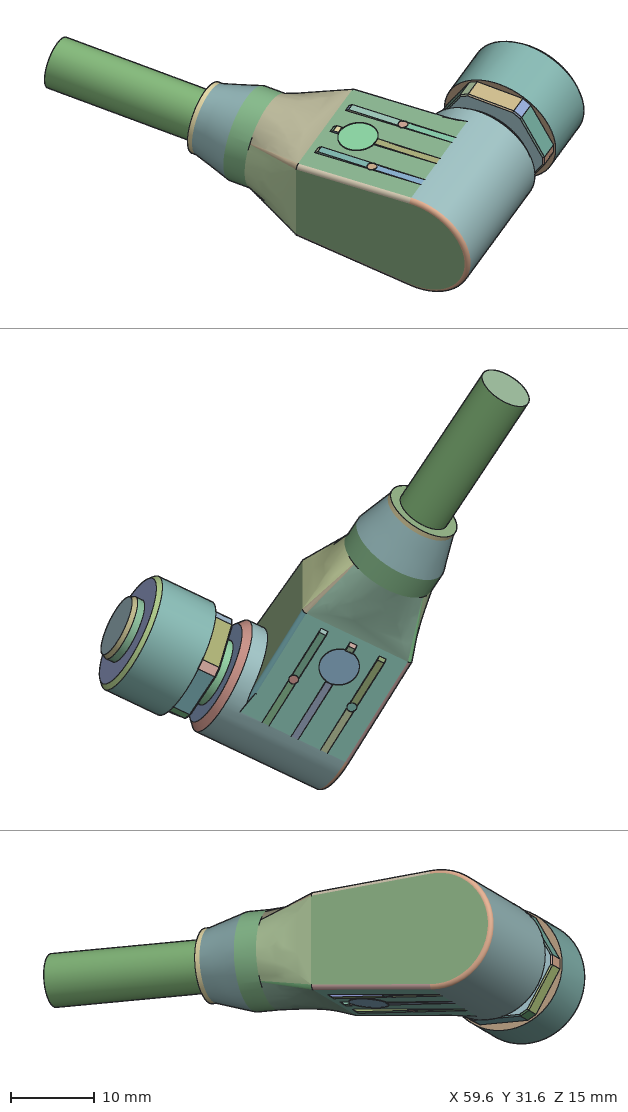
import cadquery as cq
import math


total_length = 59.6
nut_diameter = 15.0
cable_diameter = 6.5
cable_end_x = nut_diameter / 2 - total_length

collar_start_x = -32.1
collar_lip_length = 0.65
cone_end_x = -26.45
collar_end_x = -23.6
collar_small_diameter = 9.1
collar_large_diameter = 12.1

collar_corner_angle = math.radians(1.5)

head_diameter = 14.7
head_radius = head_diameter / 2
taper_angle = math.radians(5)
block_start_x = -15.9
block_half_width = 7.5
block_edge_radius = 0.55
sharp_start_x = -3.7
sharp_start_y = 7.1
head_end_y = 10.5
head_chamfer = 0.9
tangent_x = -head_radius * math.sin(taper_angle)
tangent_z = head_radius * math.cos(taper_angle)

rib_start_x = -15.0
rib_ramp_length = 0.4
rib_rise = 0.3
rib_width = 0.95
rib_spacing = 4.0
disc_x = -11.5
disc_diameter = 4.8
dot_x = -7.5
dot_diameter = 1.2
pad_rise = 0.09

neck_diameter = 8.5
hex_start_y = 12.15
hex_across_flats = 13.1
hex_across_corners = 14.4
hex_edge_chamfer = 0.2
nut_start_y = 14.65
nut_end_y = 22.5
nut_chamfer = 0.55
tip_diameter = 8.2
tip_end_y = 24.1
tip_chamfer_length = 0.6
tip_chamfer_depth = 0.3


def face_height(x):
    """Height of the upper tapered face of the block at x."""
    return tangent_z + (x - tangent_x) * math.tan(taper_angle)


def plug_plane(y):
    """Plane across the plug axis at y, with its normal along +Y."""
    return cq.Plane(origin=(0, y, 0), xDir=(1, 0, 0), normal=(0, 1, 0))


def plug_cylinder(diameter, start_y, end_y):
    return cq.Workplane(plug_plane(start_y)).circle(diameter / 2).extrude(end_y - start_y)


def make_cable_and_collar():
    cable_radius = cable_diameter / 2
    small_radius = collar_small_diameter / 2
    large_radius = collar_large_diameter / 2
    return (
        cq.Workplane("XY")
        .moveTo(cable_end_x, 0)
        .lineTo(cable_end_x, cable_radius)
        .lineTo(collar_start_x, cable_radius)
        .lineTo(collar_start_x, small_radius)
        .lineTo(collar_start_x + collar_lip_length, small_radius)
        .lineTo(cone_end_x, large_radius)
        .lineTo(collar_end_x, large_radius)
        .lineTo(collar_end_x, 0)
        .close()
        .revolve(360, (0, 0, 0), (1, 0, 0))
    )


def make_block():
    """Tapered block with a round end, rounded along its edges on both Y sides."""
    start_z = face_height(block_start_x)
    sharp_block = (
        cq.Workplane(plug_plane(-block_half_width))
        .moveTo(block_start_x, -start_z)
        .lineTo(tangent_x, -tangent_z)
        .threePointArc((head_radius, 0), (tangent_x, tangent_z))
        .lineTo(block_start_x, start_z)
        .close()
        .extrude(2 * block_half_width)
    )
    rounded_edges = sharp_block.faces("<Y or >Y").edges("not <X")
    rounded_block = rounded_edges.fillet(block_edge_radius)

    sharp_zone = (
        cq.Workplane("XY")
        .moveTo(sharp_start_x, 0)
        .lineTo(tangent_x, 0)
        .lineTo(tangent_x, block_half_width)
        .lineTo(sharp_start_x, sharp_start_y)
        .close()
        .extrude(head_radius, both=True)
    )
    return rounded_block.union(sharp_block.intersect(sharp_zone), clean=False)


def make_head():
    head = plug_cylinder(head_diameter, 0, head_end_y)
    return head.faces(">Y").edges().chamfer(head_chamfer)


def make_transition():
    """Ruled body from the round collar to the rounded rectangle of the block."""
    half_y = block_half_width
    half_z = face_height(block_start_x)
    flat_y = half_y - block_edge_radius
    flat_z = half_z - block_edge_radius
    mid_y = flat_y + block_edge_radius * math.sqrt(0.5)
    mid_z = flat_z + block_edge_radius * math.sqrt(0.5)
    rectangle = (
        cq.Workplane("YZ", origin=(block_start_x, 0, 0))
        .moveTo(half_y, -flat_z)
        .lineTo(half_y, flat_z)
        .threePointArc((mid_y, mid_z), (flat_y, half_z))
        .lineTo(-flat_y, half_z)
        .threePointArc((-mid_y, mid_z), (-half_y, flat_z))
        .lineTo(-half_y, -flat_z)
        .threePointArc((-mid_y, -mid_z), (-flat_y, -half_z))
        .lineTo(flat_y, -half_z)
        .threePointArc((mid_y, -mid_z), (half_y, -flat_z))
        .close()
    )

    large_radius = collar_large_diameter / 2

    def circle_point(angle):
        return (large_radius * math.cos(angle), large_radius * math.sin(angle))

    diagonal = math.atan2(half_z, half_y)
    corner_angles = (diagonal, math.pi - diagonal, math.pi + diagonal, 2 * math.pi - diagonal)
    arc_start = collar_corner_angle / 2 - diagonal
    circle = cq.Workplane("YZ", origin=(collar_end_x, 0, 0)).moveTo(*circle_point(arc_start))
    for corner_angle in corner_angles:
        corner_start = corner_angle - collar_corner_angle / 2
        corner_end = corner_angle + collar_corner_angle / 2
        side_middle = (arc_start + corner_start) / 2
        circle = circle.threePointArc(circle_point(side_middle), circle_point(corner_start))
        circle = circle.threePointArc(circle_point(corner_angle), circle_point(corner_end))
        arc_start = corner_end
    circle = circle.close()

    return cq.Workplane(obj=cq.Solid.makeLoft([circle.val(), rectangle.val()], True))


def make_rib(y):
    """Rib on the upper tapered face, ramped at its cable end and fading out at the head."""
    ramp_end_x = rib_start_x + rib_ramp_length
    return (
        cq.Workplane(plug_plane(y - rib_width / 2))
        .moveTo(rib_start_x, 0)
        .lineTo(tangent_x, 0)
        .lineTo(tangent_x, -tangent_z)
        .lineTo(ramp_end_x, -face_height(ramp_end_x) - rib_rise)
        .lineTo(rib_start_x, -face_height(rib_start_x))
        .close()
        .extrude(rib_width)
    )


def make_column(x, y, diameter):
    return cq.Workplane("XY").center(x, y).circle(diameter / 2).extrude(head_diameter)


def make_pad_layer():
    """Wedge whose top lies pad_rise above the upper tapered face."""
    return (
        cq.Workplane(plug_plane(-block_half_width))
        .moveTo(block_start_x, 0)
        .lineTo(tangent_x, 0)
        .lineTo(tangent_x, -tangent_z - pad_rise)
        .lineTo(block_start_x, -face_height(block_start_x) - pad_rise)
        .close()
        .extrude(2 * block_half_width)
    )


def make_grip():
    """Three ribs, interrupted by round pads that lie lower than the rib tops."""
    columns = make_column(disc_x, 0, disc_diameter)
    for y in (-rib_spacing, rib_spacing):
        columns = columns.union(make_column(dot_x, y, dot_diameter))
    ribs = make_rib(0).union(make_rib(-rib_spacing)).union(make_rib(rib_spacing))
    return ribs.cut(columns).union(columns.intersect(make_pad_layer()))


def hexagon(across_flats, turn):
    circumscribed = across_flats / math.cos(math.pi / 6)
    prism = (
        cq.Workplane(plug_plane(hex_start_y))
        .polygon(6, circumscribed)
        .extrude(nut_start_y - hex_start_y)
    )
    return prism.rotate((0, 0, 0), (0, 1, 0), turn)


def make_plug():
    neck = plug_cylinder(neck_diameter, 0, hex_start_y)
    hex_part = hexagon(hex_across_flats, 0).intersect(hexagon(hex_across_corners, 30))
    hex_part = hex_part.faces("<Y").edges().chamfer(hex_edge_chamfer)
    nut = plug_cylinder(nut_diameter, nut_start_y, nut_end_y)
    nut = nut.faces(">Y").edges().chamfer(nut_chamfer)
    tip = plug_cylinder(tip_diameter, nut_end_y, tip_end_y)
    tip = tip.faces(">Y").edges().chamfer(tip_chamfer_length, tip_chamfer_depth)
    return neck.union(hex_part).union(nut).union(tip)


grip = make_grip()
result = (
    make_block()
    .union(make_head(), clean=False)
    .union(make_transition())
    .union(make_cable_and_collar())
    .union(grip)
    .union(grip.mirror("XY"))
    .union(make_plug())
)